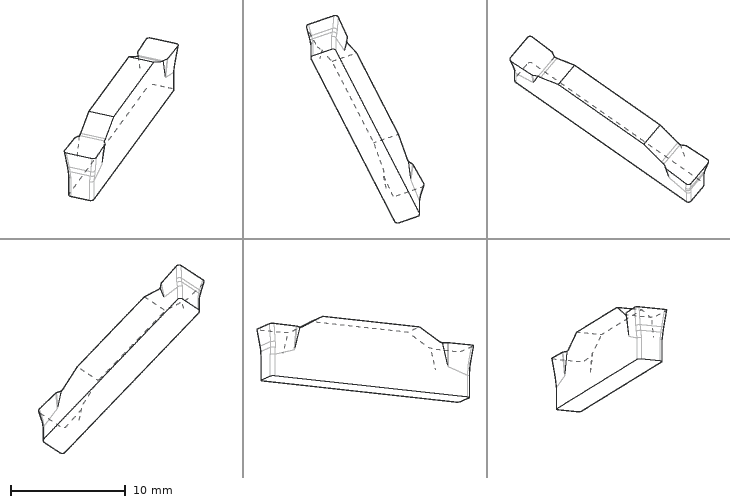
import cadquery as cq
import math

LENGTH = 19.82
HEIGHT = 5.79
BODY_WIDTH = 2.34
HALF_LENGTH = LENGTH / 2
HALF_BODY = BODY_WIDTH / 2

EDGE_Z = 4.6
END_SETBACK = 0.248
RELIEF_FOOT_Z = 2.81
RELIEF_BLEND_RADIUS = 3.57
RAMP_FOOT = 3.15
RAMP_ANGLE = 30.0
RAMP_BLEND_RADIUS = 0.52
CORNER_RADIUS = 0.3

HEAD_WIDTH = 3.0
FLANK_FOOT_Z = 1.85
BACK_TAPER = 0.037
BACK_TOP = 3.0
BACK_SPREAD = 1.8
BACK_LEAN = 0.257
BACK_BLEND_RADIUS = 0.2
HEAD_BASE_Z = 1.59
HEAD_CORE_HALF_WIDTH = 0.8
SELECT_MARGIN = 0.2

FLANK_SLOPE = (HEAD_WIDTH / 2 - HALF_BODY) / (EDGE_Z - FLANK_FOOT_Z)


def side_profile():
    """Full-width prism of the outline seen along X, with its blends."""
    ramp_length = (HEIGHT - EDGE_Z) / math.tan(math.radians(RAMP_ANGLE))
    end_half = [
        (HALF_LENGTH - END_SETBACK, 0),
        (HALF_LENGTH - END_SETBACK, RELIEF_FOOT_Z),
        (HALF_LENGTH, EDGE_Z),
        (HALF_LENGTH - RAMP_FOOT, EDGE_Z),
        (HALF_LENGTH - RAMP_FOOT - ramp_length, HEIGHT),
    ]
    other_half = [(-y, z) for y, z in reversed(end_half)]
    prism = cq.Workplane("YZ").polyline(end_half + other_half).close().extrude(HEAD_WIDTH, both=True)
    for y, z, radius in (
        (HALF_LENGTH - END_SETBACK, RELIEF_FOOT_Z, RELIEF_BLEND_RADIUS),
        (HALF_LENGTH - RAMP_FOOT, EDGE_Z, RAMP_BLEND_RADIUS),
    ):
        for side in (-1, 1):
            prism = prism.edges(cq.selectors.NearestToPointSelector((0, side * y, z))).fillet(radius)
    return prism


def head_section(z):
    """Points of the head outline at height z on the -Y end."""
    drop = EDGE_Z - z
    front_half = HEAD_WIDTH / 2 + BACK_TAPER * CORNER_RADIUS - FLANK_SLOPE * drop
    back_at_centre = BACK_TOP + BACK_SPREAD * HALF_BODY - BACK_LEAN * drop
    corner = (back_at_centre - BACK_SPREAD * front_half) / (1 - BACK_SPREAD * BACK_TAPER)
    corner_half = front_half - BACK_TAPER * corner
    core = back_at_centre - BACK_SPREAD * HEAD_CORE_HALF_WIDTH
    right = [(front_half, 0), (corner_half, corner), (HEAD_CORE_HALF_WIDTH, core)]
    left = [(-x, y) for x, y in reversed(right)]
    return [(x, y - HALF_LENGTH) for x, y in right + left]


def cutting_head():
    """Flared head on the -Y end, with rounded rear corners."""
    head = (
        cq.Workplane("XY", origin=(0, 0, HEAD_BASE_Z))
        .polyline(head_section(HEAD_BASE_Z)).close()
        .workplane(offset=EDGE_Z - HEAD_BASE_Z)
        .polyline(head_section(EDGE_Z)).close()
        .loft(ruled=True)
    )
    mid_z = (EDGE_Z + HEAD_BASE_Z) / 2
    for x, y in (head_section(mid_z)[1], head_section(mid_z)[-2]):
        head = head.edges(cq.selectors.NearestToPointSelector((x, y, mid_z))).fillet(BACK_BLEND_RADIUS)
    return head


def round_end_corners(part):
    """Round the upright corners of both ends, from underside to cutting edge."""
    for side in (-1, 1):
        near = (-HEAD_WIDTH, side * (HALF_LENGTH - CORNER_RADIUS), -SELECT_MARGIN)
        far = (HEAD_WIDTH, side * (HALF_LENGTH + SELECT_MARGIN), HEIGHT)
        part = part.edges(cq.selectors.BoxSelector(near, far)).edges("not #Z").fillet(CORNER_RADIUS)
    return part


head = cutting_head()
body = cq.Workplane("XY").box(BODY_WIDTH, LENGTH, HEIGHT, centered=(True, True, False))
blank = body.union(head).union(head.mirror("XZ"))
result = round_end_corners(blank.intersect(side_profile()))